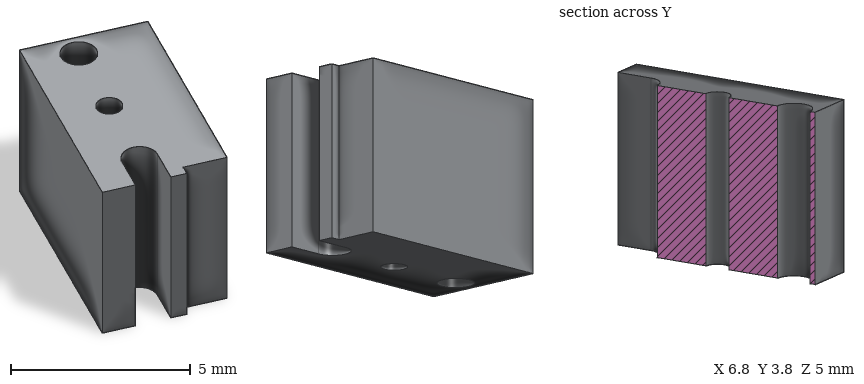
import cadquery as cq

length = 6.8
width = 3.8
height = 5.0

row_y = 1.5
first_hole_x = 0.71
hole_pitch = 2.5
large_diameter = 1.05
small_diameter = 0.75
middle_hole_x = first_hole_x + hole_pitch
slot_center_x = first_hole_x + 2 * hole_pitch

step_depth = 0.3
step_width = 1.3


def upright_box(x_start, y_start, x_size, y_size):
    """Full-height box placed by its lower X and Y corner."""
    return cq.Workplane("XY").box(x_size, y_size, height, centered=False).translate((x_start, y_start, 0))


def through_hole(x, diameter):
    """Full-height cylinder on the row of openings."""
    return cq.Workplane("XY").center(x, row_y).circle(diameter / 2).extrude(height)


def open_slot():
    """Round-ended slot that opens through the +X side."""
    straight = upright_box(
        slot_center_x, row_y - large_diameter / 2, length - slot_center_x, large_diameter
    )
    return straight.union(through_hole(slot_center_x, large_diameter))


block = upright_box(0, 0, length, width)
corner_step = upright_box(length - step_depth, width - step_width, step_depth, step_width)

result = (
    block.cut(corner_step)
    .cut(through_hole(first_hole_x, large_diameter))
    .cut(through_hole(middle_hole_x, small_diameter))
    .cut(open_slot())
)